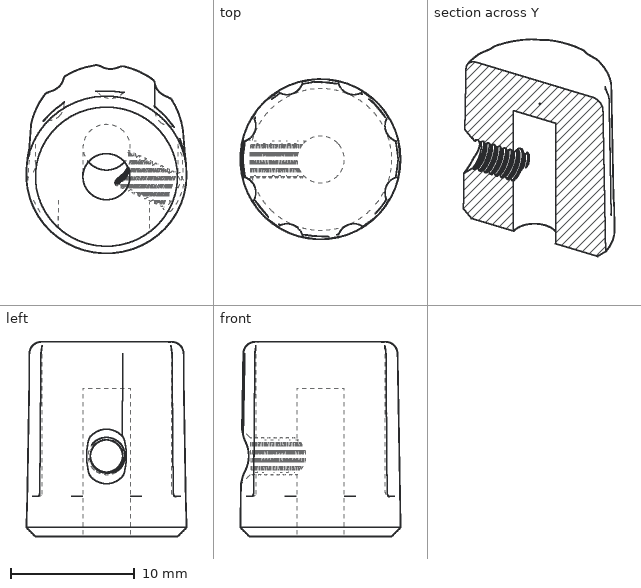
import cadquery as cq
import math

HEIGHT = 15.75
MAX_DIAMETER = 12.97
DRAFT_ANGLE = 1.0
FOOT_CHAMFER = 0.75
CROWN_FILLET = 1.0

FLUTE_COUNT = 8
FLUTE_RADIUS = 1.3
FLUTE_AXIS_RADIUS = 7.05
FLUTE_START_Z = 3.28
FLUTE_FILLET = 0.3

BORE_DIAMETER = 3.8
BORE_DEPTH = 12.0

SCREW_Z = 6.52
THREAD_MINOR_DIAMETER = 2.6
THREAD_MAJOR_DIAMETER = 3.0
THREAD_PITCH = 0.5
THREAD_ANGLE = 60
THREAD_GROOVE_WIDTH = 0.75 * THREAD_PITCH
THREAD_OVERLAP = 0.03
THREAD_END_X = -0.8
COUNTERSINK_DIAMETER = 4.4

MAX_RADIUS = MAX_DIAMETER / 2
DRAFT_SLOPE = math.tan(math.radians(DRAFT_ANGLE))
CUT_MARGIN = 1.0


def body_radius(z):
    """Radius of the drafted side at height z, above the foot chamfer."""
    return MAX_RADIUS - (z - FOOT_CHAMFER) * DRAFT_SLOPE


def make_body():
    """Revolve the drafted body and round its crown."""
    half_section = [
        (0, 0),
        (MAX_RADIUS - FOOT_CHAMFER, 0),
        (MAX_RADIUS, FOOT_CHAMFER),
        (body_radius(HEIGHT), HEIGHT),
        (0, HEIGHT),
    ]
    body = cq.Workplane("XZ").polyline(half_section).close().revolve(360, (0, 0), (0, 1))
    return body.faces(">Z").edges().fillet(CROWN_FILLET)


def cut_flutes(body):
    """Cut evenly spaced upright grooves that end in a rounded floor and run out at the crown."""
    cutter = (
        cq.Workplane("XY", origin=(FLUTE_AXIS_RADIUS, 0, FLUTE_START_Z))
        .circle(FLUTE_RADIUS)
        .extrude(HEIGHT)
        .faces("<Z")
        .edges()
        .fillet(FLUTE_FILLET)
    )
    step = 360 / FLUTE_COUNT
    for index in range(FLUTE_COUNT):
        body = body.cut(cutter.rotate((0, 0, 0), (0, 0, 1), (index + 0.5) * step))
    return body


def round_flute_rims(body):
    """Round the edges where the flutes meet the drafted side and the crown."""
    flute_faces = []
    skin_edges = []
    for face in body.faces().vals():
        wraps_body = face.BoundingBox().xlen > MAX_RADIUS
        if wraps_body:
            skin_edges.extend(face.Edges())
        else:
            flute_faces.append(face)
    skin_hashes = {edge.hashCode() for edge in skin_edges}
    rims = [edge for face in flute_faces for edge in face.Edges() if edge.hashCode() in skin_hashes]
    return body.newObject(rims).fillet(FLUTE_FILLET)


def cut_bore(body):
    """Cut the blind shaft bore upward from the foot."""
    bore = cq.Workplane("XY").circle(BORE_DIAMETER / 2).extrude(BORE_DEPTH)
    return body.cut(bore)


def place_on_screw_axis(shape, start_x):
    """Turn a shape built along +Z so that it runs inward along +X from start_x, its +X side up."""
    turned = shape.rotate((0, 0, 0), (0, 1, 0), 90).rotate((0, 0, 0), (1, 0, 0), 180)
    return turned.translate((start_x, 0, SCREW_Z))


def cut_screw_hole(body):
    """Cut the minor-diameter hole and its 90-degree countersink."""
    surface_x = -body_radius(SCREW_Z)
    start_x = surface_x - CUT_MARGIN
    minor_radius = THREAD_MINOR_DIAMETER / 2
    sink_radius = COUNTERSINK_DIAMETER / 2
    cone_end_x = surface_x + sink_radius - minor_radius
    half_section = [
        (start_x, 0),
        (start_x, sink_radius + CUT_MARGIN),
        (cone_end_x, minor_radius),
        (0, minor_radius),
        (0, 0),
    ]
    cutter = cq.Workplane("XY").polyline(half_section).close().revolve(360, (0, 0), (1, 0))
    return body.cut(cutter.translate((0, 0, SCREW_Z)))


def cut_thread(body):
    """Cut a right-handed, flat-rooted groove from the countersink through to the bore space."""
    minor_radius = THREAD_MINOR_DIAMETER / 2
    flank_slope = math.tan(math.radians(THREAD_ANGLE / 2))
    major_radius = THREAD_MAJOR_DIAMETER / 2
    mouth_radius = minor_radius - THREAD_OVERLAP
    half_mouth = THREAD_GROOVE_WIDTH / 2 + flank_slope * THREAD_OVERLAP
    half_root = THREAD_GROOVE_WIDTH / 2 - flank_slope * (major_radius - minor_radius)
    profile = [
        (mouth_radius, -half_mouth),
        (major_radius, -half_root),
        (major_radius, half_root),
        (mouth_radius, half_mouth),
    ]
    start_x = -body_radius(SCREW_Z) + COUNTERSINK_DIAMETER / 2 - major_radius - THREAD_PITCH
    helix = cq.Wire.makeHelix(THREAD_PITCH, THREAD_END_X - start_x, minor_radius)
    groove = (
        cq.Workplane("XZ")
        .polyline(profile)
        .close()
        .sweep(cq.Workplane(helix), isFrenet=True)
    )
    return body.cut(place_on_screw_axis(groove, start_x))


fluted_body = round_flute_rims(cut_flutes(make_body()))
threaded_body = cut_thread(cut_screw_hole(fluted_body))
result = cut_bore(threaded_body)